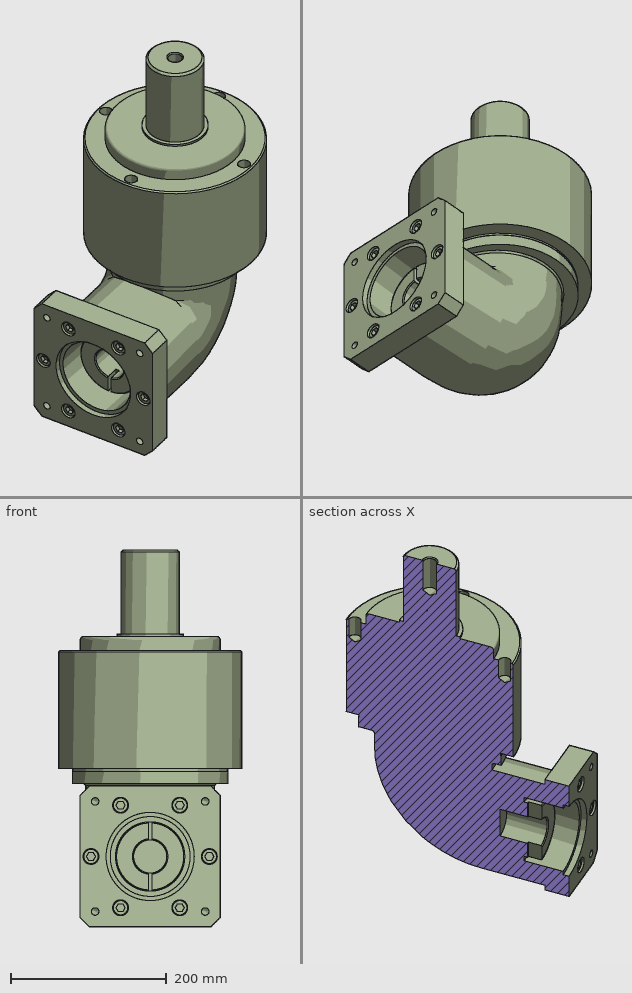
import cadquery as cq
import math


total_height = 483.5
flange_size = 180.5

shaft_radius = 75.0 / 2
shaft_top = total_height - flange_size / 2
shaft_edge = 3.0
collar_radius = 42.5
collar_top = 285.0
pilot_radius = 90.0
pilot_top = 282.2
pilot_edge = 5.0
housing_radius = 117.5
housing_top = 264.5
housing_edge = 2.0
housing_bottom = 112.5
relief_radius = 99.5
relief_bottom = 109.0
ring_radius = 100.0
ring_bottom = 93.5

center_hole_radius = 9.0
center_hole_chamfer = 1.5
center_hole_depth = 48.5
mount_hole_radius = 8.0
mount_hole_depth = 29.0
mount_circle_radius = 105.0
mount_hole_count = 4
drill_tip_angle = 118.0

pipe_radius = 82.5
bend_radius = 67.5
neck_y = -5.0
bend_y = neck_y - bend_radius
bend_z = bend_radius
neck_flare = 2.5

flange_thickness = 34.0
flange_chamfer = 12.0
flange_front = -195.3
flange_back = flange_front + flange_thickness
pilot_bore_radius = 56.5
pilot_bore_depth = 8.0
bore_radius = 51.0
bore_depth = 63.0
corner_hole_offset = 70.5
corner_hole_radius = 5.0
corner_hole_depth = 24.0

hub_radius = 44.5
hub_face_depth = 38.5
hub_edge = 1.5
hub_bore_radius = 21.5
hub_bore_depth = 96.5
hub_bore_chamfer = 1.5
slot_width = 5.0
slot_depth = 19.5

screw_count = 6
screw_circle_radius = 76.0
counterbore_radius = 10.0
counterbore_depth = 15.5
head_radius = 9.0
head_recess = 3.0
socket_sides = 6
socket_flats = 10.0
socket_depth = 6.0


def cylinder_z(radius, bottom, top):
    return cq.Workplane("XY").workplane(offset=bottom).circle(radius).extrude(top - bottom)


def flange_plane(depth):
    """Plane at a depth behind the flange front; its normal points out of the flange (-Y)."""
    return cq.Workplane("XZ", origin=(0, flange_front + depth, 0))


def cylinder_y(radius, front_depth, back_depth):
    return flange_plane(back_depth).circle(radius).extrude(back_depth - front_depth)


def drilled_hole(radius, depth, entry, direction):
    """Blind hole with a conical drill tip, as a solid to cut."""
    tip_length = radius / math.tan(math.radians(drill_tip_angle / 2))
    start = cq.Vector(*entry)
    axis = cq.Vector(*direction)
    bore = cq.Solid.makeCylinder(radius, depth, start, axis)
    tip = cq.Solid.makeCone(radius, 0, tip_length, start + axis * depth, axis)
    return cq.Workplane(bore.fuse(tip))


def flared_entry(radius, flare, entry, direction):
    """45-degree cone that narrows from radius + flare at the entry to radius."""
    cone = cq.Solid.makeCone(radius + flare, radius, flare, cq.Vector(*entry), cq.Vector(*direction))
    return cq.Workplane(cone)


def polar_points(count, radius):
    angles = [2 * math.pi * i / count for i in range(count)]
    return [(radius * math.cos(a), radius * math.sin(a)) for a in angles]


def make_output_side():
    shaft = cylinder_z(shaft_radius, housing_bottom, shaft_top).faces(">Z").chamfer(shaft_edge)
    collar = cylinder_z(collar_radius, housing_bottom, collar_top)
    pilot = cylinder_z(pilot_radius, housing_bottom, pilot_top).faces(">Z").edges().fillet(pilot_edge)
    housing = cylinder_z(housing_radius, housing_bottom, housing_top).faces(">Z").chamfer(housing_edge)
    relief = cylinder_z(relief_radius, relief_bottom, housing_bottom)
    ring = cylinder_z(ring_radius, ring_bottom, relief_bottom)
    body = housing.union(pilot).union(collar).union(shaft).union(relief).union(ring)

    body = body.cut(drilled_hole(center_hole_radius, center_hole_depth, (0, 0, shaft_top), (0, 0, -1)))
    body = body.cut(flared_entry(center_hole_radius, center_hole_chamfer, (0, 0, shaft_top), (0, 0, -1)))
    for x, y in polar_points(mount_hole_count, mount_circle_radius):
        body = body.cut(drilled_hole(mount_hole_radius, mount_hole_depth, (x, y, housing_top), (0, 0, -1)))
    return body


def make_elbow():
    neck = cq.Workplane("XY", origin=(0, neck_y, bend_z)).circle(pipe_radius).extrude(ring_bottom - bend_z)
    flare = flared_entry(pipe_radius, neck_flare, (0, neck_y, ring_bottom), (0, 0, -1))
    pipe = cq.Workplane("XZ", origin=(0, bend_y, 0)).circle(pipe_radius).extrude(bend_y - flange_back)

    half_chord = math.sqrt(pipe_radius**2 - bend_radius**2)
    bend = (
        cq.Workplane("XY", origin=(0, bend_y, bend_z))
        .moveTo(-half_chord, 0)
        .threePointArc((0, bend_radius + pipe_radius), (half_chord, 0))
        .close()
        .revolve(90, (0, 0, 0), (-1, 0, 0))
    )
    bend = cq.Workplane(bend.val().toNURBS())
    return neck.union(flare).union(pipe).union(bend)


def make_flange():
    plate = (
        flange_plane(flange_thickness)
        .rect(flange_size, flange_size)
        .extrude(flange_thickness)
        .edges("|Y")
        .chamfer(flange_chamfer)
    )
    for x in (-corner_hole_offset, corner_hole_offset):
        for z in (-corner_hole_offset, corner_hole_offset):
            plate = plate.cut(
                drilled_hole(corner_hole_radius, corner_hole_depth, (x, flange_front, z), (0, 1, 0))
            )
    screw_points = polar_points(screw_count, screw_circle_radius)
    counterbores = flange_plane(counterbore_depth).pushPoints(screw_points).circle(counterbore_radius)
    plate = plate.cut(counterbores.extrude(counterbore_depth))
    heads = flange_plane(counterbore_depth).pushPoints(screw_points).circle(head_radius)
    plate = plate.union(heads.extrude(counterbore_depth - head_recess))
    socket_diameter = socket_flats / math.cos(math.pi / socket_sides)
    socket_floor = flange_plane(head_recess + socket_depth)
    sockets = socket_floor.pushPoints(screw_points).polygon(socket_sides, socket_diameter)
    return plate.cut(sockets.extrude(socket_depth))


def make_hub():
    hub = cylinder_y(hub_radius, hub_face_depth, bore_depth).faces("<Y").chamfer(hub_edge)
    slot = flange_plane(hub_face_depth + slot_depth).rect(slot_width, 2 * hub_radius).extrude(slot_depth)
    return hub.cut(slot)


def make_hub_bore():
    bore = cylinder_y(hub_bore_radius, hub_face_depth, hub_bore_depth)
    entry = flared_entry(hub_bore_radius, hub_bore_chamfer, (0, flange_front + hub_face_depth, 0), (0, 1, 0))
    return bore.union(entry)


result = make_output_side().union(make_elbow()).union(make_flange())
result = result.cut(cylinder_y(pilot_bore_radius, 0, pilot_bore_depth))
result = result.cut(cylinder_y(bore_radius, 0, bore_depth))
result = result.union(make_hub())
result = result.cut(make_hub_bore())